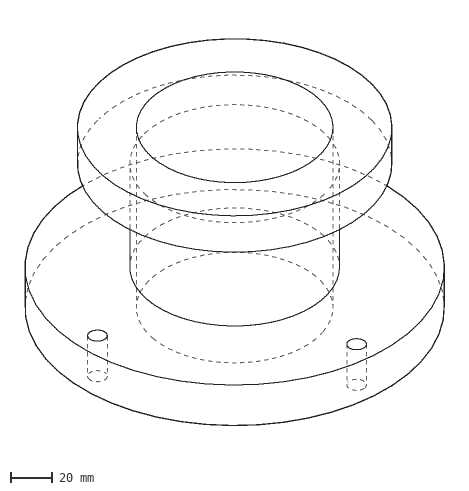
import cadquery as cq

total_height = 105.66
bore_diameter = 95.25

base_diameter = 203.2
base_thickness = 23.8
top_diameter = 152.4
top_thickness = 21.3
tube_diameter = 101.6

hole_diameter = 9.525
hole_circle_radius = 88.9
hole_centers = [(hole_circle_radius, 0), (0, -hole_circle_radius)]


def disc(diameter, bottom, height):
    """Solid cylinder on the Z axis, starting at the given level."""
    return cq.Workplane("XY").workplane(offset=bottom).circle(diameter / 2).extrude(height)


def flanged_tube():
    """Tube with a wide base flange and a smaller top flange, bored through."""
    base = disc(base_diameter, 0, base_thickness)
    tube = disc(tube_diameter, 0, total_height)
    top = disc(top_diameter, total_height - top_thickness, top_thickness)
    bore = disc(bore_diameter, 0, total_height)
    return base.union(tube).union(top).cut(bore)


def base_holes():
    """Cutters for the holes through the base flange."""
    return cq.Workplane("XY").pushPoints(hole_centers).circle(hole_diameter / 2).extrude(base_thickness)


result = flanged_tube().cut(base_holes())